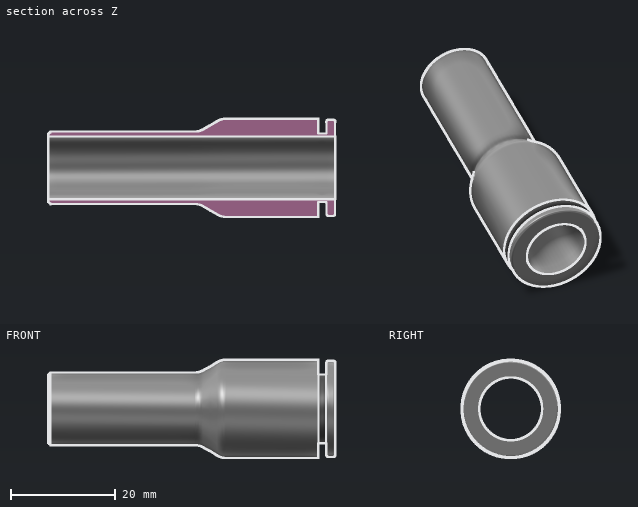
import cadquery as cq
import math

length = 55.25

tube_radius = 7.0
bore_radius = 6.0
tube_chamfer = 0.5
tube_end = 28.3

body_diameter = 18.95
body_radius = body_diameter / 2
body_end = 52.0
cone_angle_degrees = 30
cone_angle = math.radians(cone_angle_degrees)
blend_radius = 3.0

neck_radius = 6.65
collar_radius = 9.3
collar_thickness = 1.75
collar_rounding = 0.45
collar_start = length - collar_thickness


def blend_offset(angle):
    """Axial and radial travel along a blend arc that has turned by angle."""
    return blend_radius * math.sin(angle), blend_radius * (1 - math.cos(angle))


mid_run, mid_rise = blend_offset(cone_angle / 2)
blend_run, blend_rise = blend_offset(cone_angle)
cone_rise = body_radius - tube_radius - 2 * blend_rise
cone_run = cone_rise / math.tan(cone_angle)
body_start = tube_end + 2 * blend_run + cone_run

body = (
    cq.Workplane("XY")
    .moveTo(0, 0)
    .lineTo(0, tube_radius - tube_chamfer)
    .lineTo(tube_chamfer, tube_radius)
    .lineTo(tube_end, tube_radius)
    .threePointArc(
        (tube_end + mid_run, tube_radius + mid_rise),
        (tube_end + blend_run, tube_radius + blend_rise),
    )
    .lineTo(body_start - blend_run, body_radius - blend_rise)
    .threePointArc(
        (body_start - mid_run, body_radius - mid_rise),
        (body_start, body_radius),
    )
    .lineTo(body_end, body_radius)
    .lineTo(body_end, 0)
    .close()
    .revolve(360, (0, 0, 0), (1, 0, 0))
)

neck = cq.Workplane("YZ", origin=(body_end, 0, 0)).circle(neck_radius).extrude(length - body_end)

collar = (
    cq.Workplane("YZ", origin=(collar_start, 0, 0))
    .circle(collar_radius)
    .extrude(collar_thickness)
    .edges()
    .fillet(collar_rounding)
)

bore = cq.Workplane("YZ").circle(bore_radius).extrude(length)

result = body.union(neck).union(collar).cut(bore)